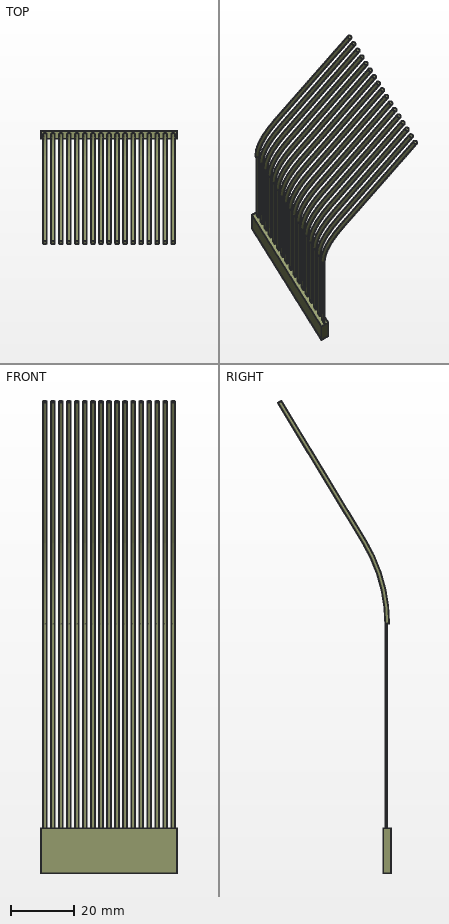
import cadquery as cq
import math

overall_depth = 35.93
overall_height = 149.74

base_width = 43.1
base_thickness = 2.54
base_height = 14.4

contact_count = 17
contact_pitch = 2.54

pin_diameter = 1.3
bend_radius = 50.0
bend_angle = math.radians(31.2)

pin_radius = pin_diameter / 2
bend_reach = bend_radius * (1 - math.cos(bend_angle))
bend_rise = bend_radius * math.sin(bend_angle)
tip_overhang_y = pin_radius * math.cos(bend_angle)
tip_overhang_z = pin_radius * math.sin(bend_angle)

tip_y = base_thickness / 2 + tip_overhang_y - overall_depth
tip_z = overall_height - tip_overhang_z
straight_reach = -tip_y - bend_reach
straight_rise = straight_reach / math.tan(bend_angle)
stem_top = tip_z - straight_rise - bend_rise
stem_length = stem_top - base_height


def make_base():
    return cq.Workplane("XY").box(base_width, base_thickness, base_height, centered=(True, True, False))


def make_stem():
    section = (
        cq.Workplane("XY", origin=(0, 0, base_height))
        .moveTo(-pin_radius, 0)
        .threePointArc((0, -pin_radius), (pin_radius, 0))
        .close()
    )
    return section.extrude(stem_length)


def make_pin():
    half_angle = bend_angle / 2
    bend_middle = (-bend_radius * (1 - math.cos(half_angle)), stem_top + bend_radius * math.sin(half_angle))
    bend_end = (-bend_reach, stem_top + bend_rise)
    centreline = (
        cq.Workplane("YZ")
        .moveTo(0, stem_top)
        .threePointArc(bend_middle, bend_end)
        .lineTo(tip_y, tip_z)
    )
    section = cq.Workplane("XY", origin=(0, 0, stem_top)).circle(pin_radius)
    return section.sweep(centreline)


contact = make_stem().union(make_pin())
result = make_base()
for index in range(contact_count):
    contact_x = (index - (contact_count - 1) / 2) * contact_pitch
    result = result.union(contact.translate((contact_x, 0, 0)))